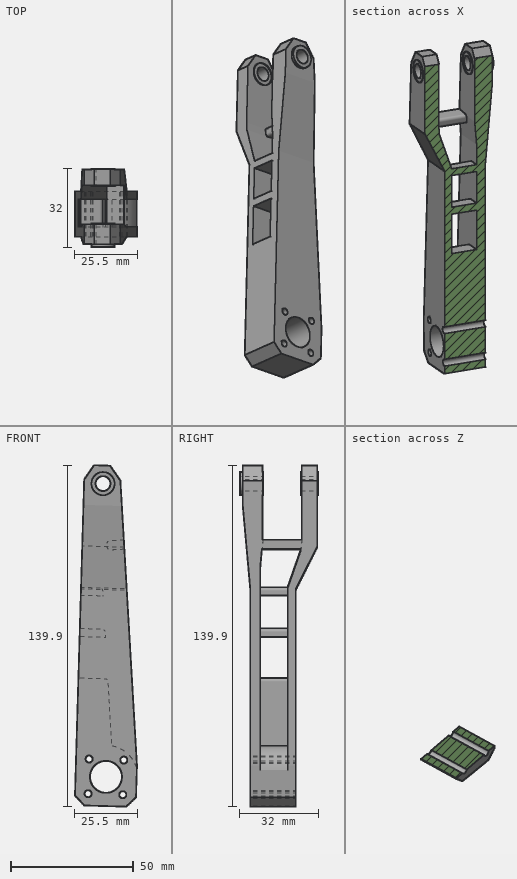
import cadquery as cq
import math

lean = 1.67
draft = 5.0

left_x = -12.5
right_x = 12.6
bottom_z = -12.0
straight_top_z = 5.0
top_z = 127.41
base_chamfer = 4.0
tip_chamfer_x = 3.9
tip_chamfer_z = 6.0

body_depth = 18.7
channel_front_y = 4.2
channel_back_y = 15.3
fork_front_y = -3.05
fork_inner_front_y = 5.1
fork_inner_back_y = 21.05
fork_back_y = 27.55
front_bend_low_z = 77.1
front_bend_high_z = 111.0
inner_bend_low_z = 86.0
inner_bend_high_z = 96.2
back_bend_low_z = 76.7
back_bend_high_z = 94.3
inner_back_bend_z = 92.9
fork_floor_z = 77.3
inner_taper = (fork_inner_front_y - channel_front_y) / (inner_bend_high_z - inner_bend_low_z)
inner_back_bend_y = fork_inner_back_y - inner_taper * (inner_bend_high_z - inner_back_bend_z)

window_spans = ((40.2, 57.2), (60.5, 74.1))
channel_depth = 10.0
channel_round_radius = 13.0

tie_top_z = 97.3
tie_height = 3.8
tie_width = 7.1
web_fillet = 1.25

motor_bore = 13.0
screw_hole = 2.8
screw_spacing = 14.2

pivot_inset = 7.8
pivot_x = left_x + pivot_inset
pivot_z = 119.95
pivot_hole = 6.0
boss_diameter = 9.5
front_boss = 1.15
inner_boss = 0.35
back_boss = 0.25


def edge_x(z):
    """X of the sloped +X edge at height z."""
    return right_x - math.tan(math.radians(draft)) * (z - straight_top_z)


def shelf_end_x(z):
    """X of the channel wall, where the shelves between the windows end."""
    return edge_x(z) - channel_depth


def prism_y(points, y_start, y_end):
    """Extrude an X-Z outline from y_start to y_end."""
    plane = cq.Workplane("XZ", origin=(0, y_start, 0))
    return plane.polyline(points).close().extrude(y_start - y_end)


def prism_x(points):
    """Extrude a Y-Z outline across the full width of the arm."""
    plane = cq.Workplane("YZ", origin=(left_x, 0, 0))
    return plane.polyline(points).close().extrude(right_x - left_x)


def cylinder_y(x, z, diameter, y_start, y_end):
    """Cylinder along Y between y_start and y_end."""
    plane = cq.Workplane("XZ", origin=(x, y_start, z))
    return plane.circle(diameter / 2).extrude(y_start - y_end)


def make_side():
    """Side outline: straight -X edge, sloped +X edge, chamfered ends."""
    tip_corner_z = top_z - tip_chamfer_z
    points = [
        (left_x, bottom_z + base_chamfer),
        (left_x + base_chamfer, bottom_z),
        (right_x - base_chamfer, bottom_z),
        (right_x, bottom_z + base_chamfer),
        (right_x, straight_top_z),
        (edge_x(tip_corner_z), tip_corner_z),
        (edge_x(top_z) - tip_chamfer_x, top_z),
        (left_x + tip_chamfer_x, top_z),
        (left_x, tip_corner_z),
    ]
    return prism_y(points, fork_front_y, fork_back_y)


def make_fork():
    """Edge outline: solid body that spreads into two fork arms."""
    points = [
        (0, bottom_z),
        (0, front_bend_low_z),
        (fork_front_y, front_bend_high_z),
        (fork_front_y, top_z),
        (fork_inner_front_y, top_z),
        (fork_inner_front_y, inner_bend_high_z),
        (channel_front_y, inner_bend_low_z),
        (channel_front_y, fork_floor_z),
        (channel_back_y, fork_floor_z),
        (inner_back_bend_y, inner_back_bend_z),
        (fork_inner_back_y, inner_bend_high_z),
        (fork_inner_back_y, top_z),
        (fork_back_y, top_z),
        (fork_back_y, back_bend_high_z),
        (body_depth, back_bend_low_z),
        (body_depth, bottom_z),
    ]
    return prism_x(points)


def make_window(z_low, z_high):
    """Rectangular opening through the arm along X."""
    points = [
        (channel_front_y, z_low),
        (channel_back_y, z_low),
        (channel_back_y, z_high),
        (channel_front_y, z_high),
    ]
    return prism_x(points)


def make_channel():
    """Channel in the +X edge, ending on a round around the motor axis."""
    points = [
        (shelf_end_x(0), 0),
        (right_x, 0),
        (right_x, fork_floor_z),
        (shelf_end_x(fork_floor_z), fork_floor_z),
    ]
    channel = prism_y(points, channel_front_y, channel_back_y)
    floor_round = cylinder_y(0, 0, 2 * channel_round_radius, channel_front_y, channel_back_y)
    return channel.cut(floor_round)


def round_shelf_ends(body):
    """Round the upper edge of each shelf where it meets the channel."""
    shelf_tops = [fork_floor_z]
    for z_low, _ in window_spans:
        shelf_tops.append(z_low)
    middle_y = (channel_front_y + channel_back_y) / 2
    for z in shelf_tops:
        nearest = cq.selectors.NearestToPointSelector((shelf_end_x(z), middle_y, z))
        body = body.edges("|Y").edges(nearest).fillet(web_fillet)
    return body


def make_tie():
    """Bar joining the fork arms, square to the sloped edge."""
    corner_x = edge_x(tie_top_z)
    plane = cq.Workplane("XZ", origin=(corner_x, channel_front_y, tie_top_z))
    bar = plane.rect(-tie_width, -tie_height, centered=False)
    bar = bar.extrude(channel_front_y - fork_inner_back_y)
    bar = bar.edges("|Y and <X").fillet(web_fillet)
    return bar.rotate((corner_x, 0, tie_top_z), (corner_x, 1, tie_top_z), -draft)


def add_bosses(body):
    """Pivot bosses on both faces of both fork arms."""
    boss_spans = (
        (fork_front_y - front_boss, fork_front_y),
        (fork_inner_front_y, fork_inner_front_y + inner_boss),
        (fork_inner_back_y - inner_boss, fork_inner_back_y),
        (fork_back_y, fork_back_y + back_boss),
    )
    for y_start, y_end in boss_spans:
        body = body.union(cylinder_y(pivot_x, pivot_z, boss_diameter, y_start, y_end))
    return body


def drill(body, x, z, diameter):
    """Hole through the whole arm along Y."""
    return body.cut(cylinder_y(x, z, diameter, fork_front_y - front_boss, fork_back_y + back_boss))


arm = make_side().intersect(make_fork())
for z_low, z_high in window_spans:
    arm = arm.cut(make_window(z_low, z_high))
arm = arm.cut(make_channel())
arm = round_shelf_ends(arm)
arm = arm.union(make_tie())
arm = add_bosses(arm)

arm = drill(arm, pivot_x, pivot_z, pivot_hole)
arm = drill(arm, 0, 0, motor_bore)
for side_x in (-1, 1):
    for side_z in (-1, 1):
        screw_x = side_x * screw_spacing / 2
        screw_z = side_z * screw_spacing / 2
        arm = drill(arm, screw_x, screw_z, screw_hole)

result = arm.rotate((0, 0, 0), (0, 1, 0), lean)